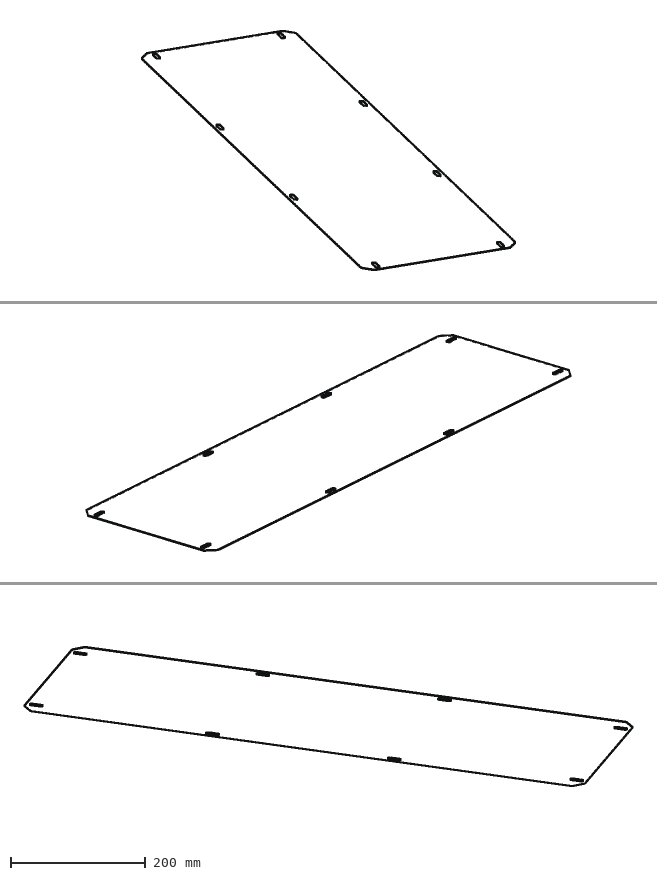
import cadquery as cq

length = 880.0
width = 248.0
thickness = 1.5
corner_cut = 15.0

slot_length = 20.0
slot_width = 6.0
end_slot_x = 424.0
end_slot_y = 100.0
edge_slot_x = 143.0
edge_slot_y = 115.0

plate = (
    cq.Workplane("XY")
    .box(length, width, thickness, centered=(True, True, False))
    .edges("|Z")
    .chamfer(corner_cut)
)


def mirrored_points(x, y):
    """The four places that mirror (x, y) about both plate centre lines."""
    return [(side_x * x, side_y * y) for side_x in (-1, 1) for side_y in (-1, 1)]


slot_centres = mirrored_points(end_slot_x, end_slot_y) + mirrored_points(edge_slot_x, edge_slot_y)

slots = (
    cq.Workplane("XY")
    .pushPoints(slot_centres)
    .slot2D(slot_length, slot_width)
    .extrude(thickness)
)

result = plate.cut(slots)